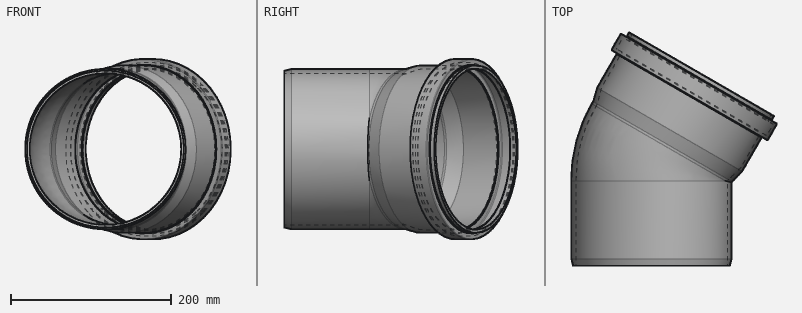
import cadquery as cq

bend_angle = 30.0
pipe_diameter = 200.5
pipe_bore = 189.2
spigot_length = 106.3
spigot_taper_length = 9.0
spigot_taper_depth = 2.3
bend_radius = 92.5

socket_diameter = 209.5
socket_bore = 201.0
collar_diameter = 225.7
groove_diameter = 217.0
edge_radius = 1.0

flare_start = 3.2
flare_end = 20.7
bore_flare_end = 24.0
collar_start = 70.0
collar_end = 94.0
groove_start = 74.8
groove_end = 91.0
socket_end = 100.5


def bent_pipe(diameter):
    """Solid straight cylinder followed by a bend; the section is cut off at the bend axis."""
    straight = cq.Workplane("XZ").circle(diameter / 2).extrude(-spigot_length)
    beyond_axis = cq.Sketch().push([(bend_radius + diameter / 2, 0)]).rect(diameter, 2 * diameter)
    section = cq.Sketch().circle(diameter / 2).face(beyond_axis, mode="s")
    bend = (
        cq.Workplane("XZ", origin=(0, spigot_length, 0))
        .placeSketch(section)
        .revolve(bend_angle, (bend_radius, 0, 0), (bend_radius, -1, 0))
    )
    return straight.union(bend)


def flared_socket(start_diameter, end_diameter, flare_stop):
    """Solid of revolution about Y: short cylinder, conical flare, then the socket cylinder."""
    return (
        cq.Workplane("XY")
        .moveTo(0, 0)
        .lineTo(start_diameter / 2, 0)
        .lineTo(start_diameter / 2, flare_start)
        .lineTo(end_diameter / 2, flare_stop)
        .lineTo(end_diameter / 2, socket_end)
        .lineTo(0, socket_end)
        .close()
        .revolve(360, (0, 0, 0), (0, 1, 0))
    )


def rounded_ring(base_diameter, ring_diameter, start, end):
    """Disc on a cylinder of the base diameter, rounded at its rims and into its base."""
    base_radius = base_diameter / 2
    ring_radius = ring_diameter / 2
    r = edge_radius
    return (
        cq.Workplane("XY")
        .moveTo(0, start - r)
        .lineTo(base_radius, start - r)
        .radiusArc((base_radius + r, start), -r)
        .lineTo(ring_radius - r, start)
        .radiusArc((ring_radius, start + r), -r)
        .lineTo(ring_radius, end - r)
        .radiusArc((ring_radius - r, end), -r)
        .lineTo(base_radius + r, end)
        .radiusArc((base_radius, end + r), -r)
        .lineTo(0, end + r)
        .close()
        .revolve(360, (0, 0, 0), (0, 1, 0))
    )


def at_bend_end(body):
    """Move a body built about Y to the end of the bend, turned towards +X."""
    pivot = (bend_radius, spigot_length, 0)
    above_pivot = (bend_radius, spigot_length, 1)
    return body.translate((0, spigot_length, 0)).rotate(pivot, above_pivot, -bend_angle)


pipe = bent_pipe(pipe_diameter).faces("<Y").chamfer(spigot_taper_length, spigot_taper_depth)
socket = flared_socket(pipe_diameter, socket_diameter, flare_end)
collar = rounded_ring(socket_diameter, collar_diameter, collar_start, collar_end)
outside = pipe.union(at_bend_end(socket.union(collar)))

socket_space = flared_socket(pipe_bore, socket_bore, bore_flare_end)
seal_groove = rounded_ring(socket_bore, groove_diameter, groove_start, groove_end)
passage = bent_pipe(pipe_bore).union(at_bend_end(socket_space.union(seal_groove)))

result = outside.cut(passage)